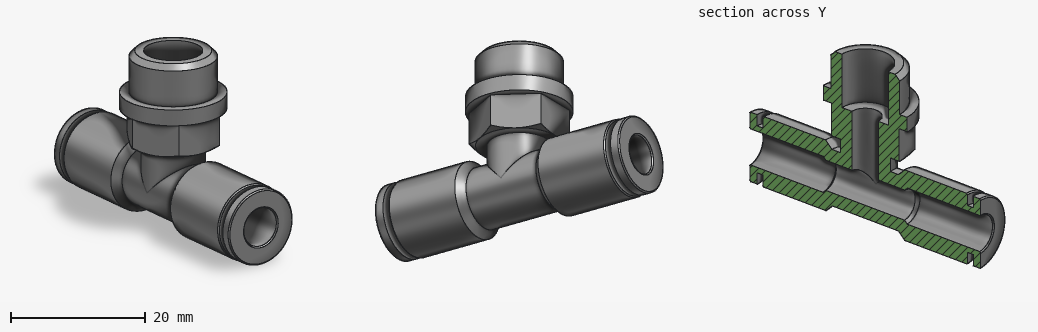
import cadquery as cq
import math


run_length = 44.0
body_diameter = 9.6
sleeve_diameter = 12.0
sleeve_inner_x = 7.5
sleeve_outer_x = 19.5
ring_diameter = 11.8
ring_thickness = 1.5
ring_neck_diameter = 8.0
edge_chamfer = 0.2

bore_diameter = 5.0
tube_socket_diameter = 6.0
tube_stop_x = sleeve_inner_x

hex_bottom_z = 7.0
collar_bottom_z = 12.5
collar_top_z = 15.0
branch_top_z = 21.5
hex_across_flats = 13.0
hex_turn = 90.0
hex_chamfer_angle = 30.0
collar_diameter = 16.0
thread_diameter = 13.16
thread_chamfer = 0.86
branch_bore_diameter = 8.77
branch_bore_floor_z = collar_bottom_z

run_end_x = run_length / 2
ring_inner_x = run_end_x - ring_thickness


def make_run():
    """Revolve the run's outline, symmetric about X = 0, around the X axis."""
    body_radius = body_diameter / 2
    sleeve_radius = sleeve_diameter / 2
    neck_radius = ring_neck_diameter / 2
    ring_radius = ring_diameter / 2
    cone_length = sleeve_radius - body_radius
    right_outline = [
        (sleeve_inner_x - cone_length, body_radius),
        (sleeve_inner_x, sleeve_radius),
        (sleeve_outer_x - edge_chamfer, sleeve_radius),
        (sleeve_outer_x, sleeve_radius - edge_chamfer),
        (sleeve_outer_x, neck_radius),
        (ring_inner_x, neck_radius),
        (ring_inner_x, ring_radius),
        (run_end_x - edge_chamfer, ring_radius),
        (run_end_x, ring_radius - edge_chamfer),
        (run_end_x, 0),
    ]
    left_outline = [(-x, radius) for x, radius in reversed(right_outline)]
    return (
        cq.Workplane("XZ")
        .polyline(left_outline + right_outline)
        .close()
        .revolve(360, (0, 0, 0), (1, 0, 0))
    )


def cylinder_z(diameter, bottom_z, top_z):
    """Solid cylinder on the Z axis between two heights."""
    return cq.Workplane("XY", origin=(0, 0, bottom_z)).circle(diameter / 2).extrude(top_z - bottom_z)


def make_hexagon():
    """Hexagon with corners on the Y axis and its lower corners turned off to a cone."""
    across_corners = 2 * hex_across_flats / math.sqrt(3)
    height = collar_bottom_z - hex_bottom_z
    prism = (
        cq.Workplane("XY", origin=(0, 0, hex_bottom_z))
        .transformed(rotate=(0, 0, hex_turn))
        .polygon(6, across_corners)
        .extrude(height)
    )
    corner_overhang = (across_corners - hex_across_flats) / 2
    cone_height = corner_overhang * math.tan(math.radians(hex_chamfer_angle))
    turned_blank = (
        cylinder_z(across_corners, hex_bottom_z, collar_bottom_z)
        .faces("<Z")
        .chamfer(cone_height, corner_overhang)
    )
    return prism.intersect(turned_blank)


def make_branch():
    """Round stem, hexagon, collar and chamfered threaded end."""
    stem = cylinder_z(body_diameter, 0, collar_bottom_z)
    collar = cylinder_z(collar_diameter, collar_bottom_z, collar_top_z)
    threaded_end = cylinder_z(thread_diameter, collar_top_z, branch_top_z).faces(">Z").chamfer(thread_chamfer)
    return stem.union(make_hexagon()).union(collar).union(threaded_end)


def make_tube_socket():
    """Tube socket at the right end: chamfered mouth, straight wall and a 45 degree stop."""
    bore_radius = bore_diameter / 2
    socket_radius = tube_socket_diameter / 2
    return (
        cq.Workplane("XZ")
        .moveTo(tube_stop_x, 0)
        .lineTo(tube_stop_x, bore_radius)
        .lineTo(tube_stop_x + socket_radius - bore_radius, socket_radius)
        .lineTo(run_end_x - edge_chamfer, socket_radius)
        .lineTo(run_end_x, socket_radius + edge_chamfer)
        .lineTo(run_end_x, 0)
        .close()
        .revolve(360, (0, 0, 0), (1, 0, 0))
    )


def cut_bores(part):
    """Through bore along X, tube sockets at both ends and the stepped branch bore."""
    run_bore = cq.Workplane("YZ", origin=(-run_end_x, 0, 0)).circle(bore_diameter / 2).extrude(run_length)
    tube_socket = make_tube_socket()
    branch_passage = cylinder_z(bore_diameter, 0, branch_bore_floor_z)
    branch_bore = cylinder_z(branch_bore_diameter, branch_bore_floor_z, branch_top_z)
    tools = [run_bore, tube_socket, tube_socket.mirror("YZ"), branch_passage, branch_bore]
    for tool in tools:
        part = part.cut(tool)
    return part


result = cut_bores(make_run().union(make_branch()))